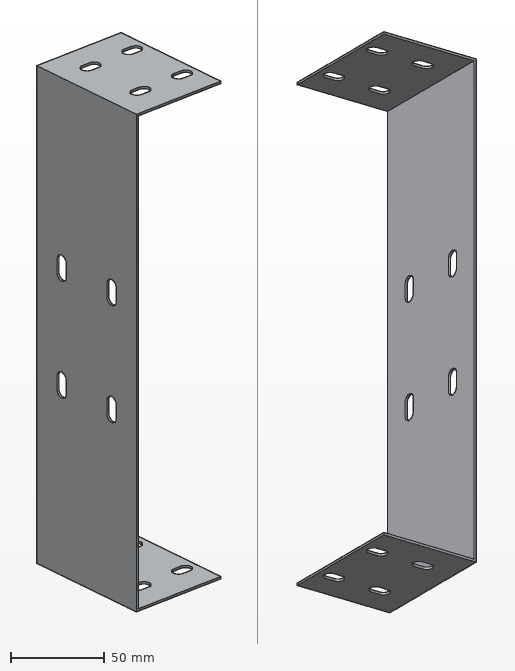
import cadquery as cq

width = 80.0
depth = 60.8
height = 296.7
thickness = 1.5

slot_width = 7.5
slot_spacing_x = 40.0

plate_slot_length = 15.5
plate_slot_spacing_z = 69.7
plate_slot_center_z = 148.5

flange_slot_length = 12.5
flange_slot_spacing_y = 30.0
flange_slot_center_y = 36.0


def slot_cutter(plane, center, spacing, length, reach):
    """Four slots, long along the plane's second axis, cut from the plane to the given reach."""
    return (
        cq.Workplane(plane)
        .center(width / 2, center)
        .rarray(slot_spacing_x, spacing, 2, 2)
        .slot2D(length, slot_width, 90)
        .extrude(reach)
    )


outer = cq.Workplane("XY").box(width, depth, height, centered=False)
inner = (
    cq.Workplane("XY")
    .box(width, depth - thickness, height - 2 * thickness, centered=False)
    .translate((0, thickness, thickness))
)

plate_slots = slot_cutter("XZ", plate_slot_center_z, plate_slot_spacing_z, plate_slot_length, -thickness)

flange_slots = slot_cutter("XY", flange_slot_center_y, flange_slot_spacing_y, flange_slot_length, height)

result = outer.cut(inner).cut(plate_slots).cut(flange_slots)